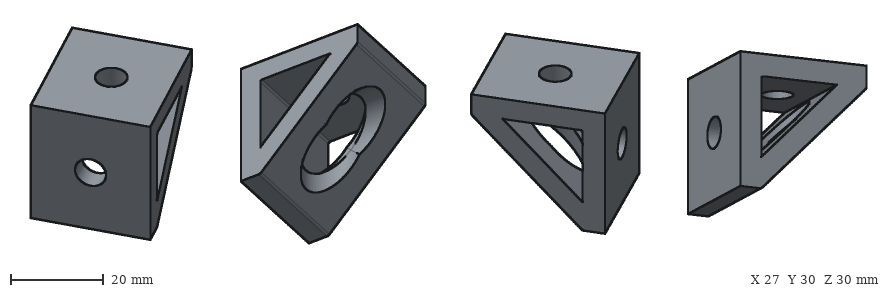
import cadquery as cq
import math

WIDTH = 27.0
LEG = 30.0
WALL = 5.0
HOLE_DIAMETER = 7.0
ACCESS_DIAMETER = 14.0
BRACE_EDGE_RADIUS = 1.0
WINDOW_CORNER_RADIUS = 0.5

BRACE_SPAN = WALL * math.sqrt(2)
WINDOW_LEG = LEG - WALL - BRACE_SPAN


def bracket_body():
    """Solid wedge with its right-angled edge at Y = 0, Z = LEG."""
    outline = [
        (0, LEG),
        (LEG, LEG),
        (LEG, LEG - WALL),
        (WALL, 0),
        (0, 0),
    ]
    body = cq.Workplane("YZ").polyline(outline).close().extrude(WIDTH / 2, both=True)
    brace_edges = cq.selectors.BoxSelector(
        (-WIDTH, WALL / 2, -WALL / 2), (WIDTH, LEG + WALL / 2, LEG - WALL / 2)
    )
    return body.edges("|X").edges(brace_edges).fillet(BRACE_EDGE_RADIUS)


def window():
    """Triangular opening running across the full width."""
    corner_z = LEG - WALL
    outline = [
        (WALL, corner_z),
        (WALL + WINDOW_LEG, corner_z),
        (WALL, corner_z - WINDOW_LEG),
    ]
    prism = cq.Workplane("YZ").polyline(outline).close().extrude(WIDTH / 2, both=True)
    corner = cq.selectors.NearestToPointSelector((0, WALL, corner_z))
    return prism.edges("|X").edges(corner).fillet(WINDOW_CORNER_RADIUS)


def centred_bores(diameter, vertical_length, horizontal_start, horizontal_length):
    """Vertical bore up from Z = 0 and horizontal bore along +Y, each centred on its leg."""
    radius = diameter / 2
    vertical = cq.Workplane("XY").center(0, LEG / 2).circle(radius).extrude(vertical_length)
    horizontal = (
        cq.Workplane("XZ", origin=(0, horizontal_start, 0))
        .center(0, LEG / 2)
        .circle(radius)
        .extrude(-horizontal_length)
    )
    return vertical.union(horizontal)


bolt_holes = centred_bores(HOLE_DIAMETER, LEG, 0, LEG)
access_bores = centred_bores(ACCESS_DIAMETER, LEG - WALL, WALL, LEG - WALL)

result = bracket_body().cut(window()).cut(bolt_holes).cut(access_bores)